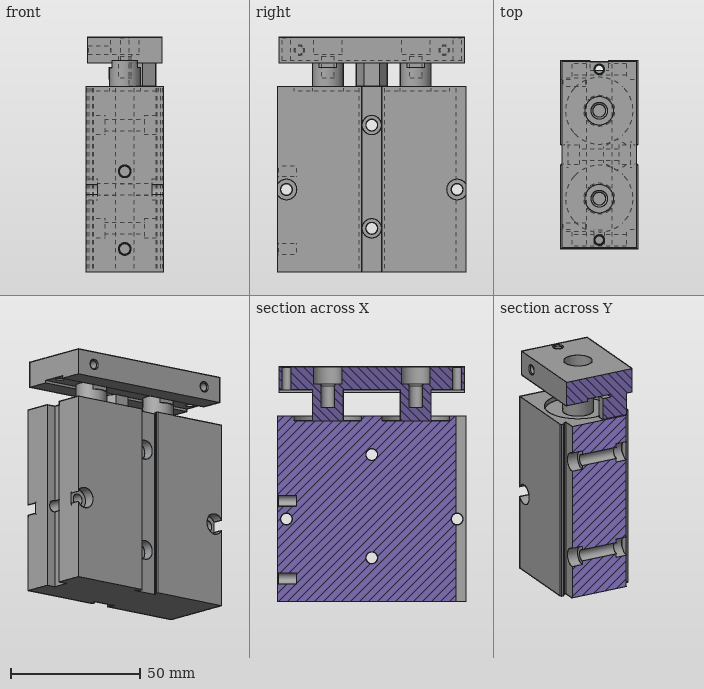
import cadquery as cq
import math

TOTAL_HEIGHT = 91.0

HOUSING_WIDTH = 30.0
HOUSING_LENGTH = 73.0
HOUSING_HEIGHT = 72.0

ROD_OFFSET_Y = 17.0
ROD_DIAMETER = 12.0

RECESS_DIAMETER = 26.0
RECESS_DEPTH = 1.8

GROOVE_MOUTH_WIDTH = 8.1
GROOVE_MOUTH_CHAMFER = 0.4
GROOVE_NECK_LENGTH = 0.8
GROOVE_UNDERCUT = 1.3
GROOVE_DEPTH = 3.0

END_SLOT_WIDTH = 7.0
END_SLOT_DEPTH = 3.8

MOUNT_HOLE_DIAMETER = 4.5
MOUNT_COUNTERBORE_DEPTH = 4.5
GROOVE_COUNTERBORE_DIAMETER = 7.5
GROOVE_HOLE_HEIGHTS = (17.0, 57.0)
SIDE_COUNTERBORE_DIAMETER = 8.0
SIDE_HOLE_OFFSET_Y = 33.0
SIDE_HOLE_HEIGHT = 32.0

PORT_DIAMETER = 4.1
PORT_MOUTH_DIAMETER = 4.9
PORT_DEPTH = 7.3
PORT_HEIGHTS = (9.0, 39.0)

PLATE_WIDTH = 29.0
PLATE_LENGTH = 72.0
PLATE_THICKNESS = 10.0
PLATE_BOTTOM = TOTAL_HEIGHT - PLATE_THICKNESS

ROD_FLAT_WIDTH = 10.0
ROD_FLAT_BELOW_PLATE = 1.7
CHANNEL_DEPTH = 1.0

WELL_DIAMETER = 11.0
WELL_DEPTH = 6.6
ROD_THREAD_DIAMETER = 4.9
ROD_THREAD_MOUTH_DIAMETER = 6.5
ROD_THREAD_DEPTH = 9.1

PLATE_THREAD_DIAMETER = 3.3
PLATE_THREAD_MOUTH_DIAMETER = 4.1
TOP_THREAD_OFFSET_Y = 33.0
SIDE_THREAD_OFFSET_Y = 28.0
SIDE_THREAD_DEPTH = 9.1

STOP_OFFSET_X = 6.8
STOP_ACROSS_FLATS = 10.5
STOP_GAP = 0.1


def box(size_x, size_y, bottom, top):
    """Block centred on X = Y = 0 between two heights."""
    height = top - bottom
    block = cq.Workplane("XY").box(size_x, size_y, height, centered=(True, True, False))
    return block.translate((0, 0, bottom))


def cylinder(diameter, start, direction, length):
    """Cylinder whose axis runs from a start point along a direction."""
    solid = cq.Solid.makeCylinder(diameter / 2, length, cq.Vector(*start), cq.Vector(*direction))
    return cq.Workplane(solid)


def threaded_hole(diameter, mouth_diameter, start, direction, depth):
    """Hole cutter with a 45 degree countersink at its mouth."""
    sink = (mouth_diameter - diameter) / 2
    cone = cq.Solid.makeCone(
        mouth_diameter / 2, diameter / 2, sink, cq.Vector(*start), cq.Vector(*direction)
    )
    return cylinder(diameter, start, direction, depth).union(cq.Workplane(cone))


def groove_cutter(side):
    """Undercut groove along Z in the broad face at X = side * HOUSING_WIDTH / 2."""
    face = HOUSING_WIDTH / 2
    neck_top = face - GROOVE_MOUTH_CHAMFER
    neck_bottom = neck_top - GROOVE_NECK_LENGTH
    undercut_end = neck_bottom - GROOVE_UNDERCUT
    floor = face - GROOVE_DEPTH
    mouth_half = GROOVE_MOUTH_WIDTH / 2
    neck_half = mouth_half - GROOVE_MOUTH_CHAMFER
    floor_half = neck_half + GROOVE_UNDERCUT
    half_outline = [
        (face, mouth_half),
        (neck_top, neck_half),
        (neck_bottom, neck_half),
        (undercut_end, floor_half),
        (floor, floor_half),
    ]
    outline = half_outline + [(x, -y) for x, y in reversed(half_outline)]
    points = [(side * x, y) for x, y in outline]
    return cq.Workplane("XY").polyline(points).close().extrude(HOUSING_HEIGHT)


def mount_hole_cutter(y, z, counterbore_diameter, seat_x):
    """Hole through the housing along X, counterbored inward from X = seat_x and X = -seat_x."""
    cutter = cylinder(MOUNT_HOLE_DIAMETER, (-HOUSING_WIDTH / 2, y, z), (1, 0, 0), HOUSING_WIDTH)
    for side in (-1, 1):
        start = (side * seat_x, y, z)
        cutter = cutter.union(cylinder(counterbore_diameter, start, (-side, 0, 0), MOUNT_COUNTERBORE_DEPTH))
    return cutter


def make_housing():
    housing = box(HOUSING_WIDTH, HOUSING_LENGTH, 0, HOUSING_HEIGHT)

    for side in (-1, 1):
        housing = housing.cut(groove_cutter(side))

    end_slot = box(END_SLOT_WIDTH, 2 * END_SLOT_DEPTH, 0, HOUSING_HEIGHT)
    housing = housing.cut(end_slot.translate((0, HOUSING_LENGTH / 2, 0)))

    for z in GROOVE_HOLE_HEIGHTS:
        seat_x = HOUSING_WIDTH / 2 - GROOVE_DEPTH
        housing = housing.cut(mount_hole_cutter(0, z, GROOVE_COUNTERBORE_DIAMETER, seat_x))
    for y in (-SIDE_HOLE_OFFSET_Y, SIDE_HOLE_OFFSET_Y):
        cutter = mount_hole_cutter(y, SIDE_HOLE_HEIGHT, SIDE_COUNTERBORE_DIAMETER, HOUSING_WIDTH / 2)
        housing = housing.cut(cutter)

    for z in PORT_HEIGHTS:
        start = (0, -HOUSING_LENGTH / 2, z)
        port = threaded_hole(PORT_DIAMETER, PORT_MOUTH_DIAMETER, start, (0, 1, 0), PORT_DEPTH)
        housing = housing.cut(port)

    for y in (-ROD_OFFSET_Y, ROD_OFFSET_Y):
        recess = cylinder(RECESS_DIAMETER, (0, y, HOUSING_HEIGHT), (0, 0, -1), RECESS_DEPTH)
        housing = housing.cut(recess)
    return housing


def make_plate():
    plate = box(PLATE_WIDTH, PLATE_LENGTH, PLATE_BOTTOM, TOTAL_HEIGHT)
    plate = plate.cut(box(ROD_FLAT_WIDTH, PLATE_LENGTH, PLATE_BOTTOM, PLATE_BOTTOM + CHANNEL_DEPTH))
    core = PLATE_THREAD_DIAMETER
    mouth = PLATE_THREAD_MOUTH_DIAMETER
    middle = PLATE_BOTTOM + PLATE_THICKNESS / 2
    for side in (-1, 1):
        top_start = (0, side * TOP_THREAD_OFFSET_Y, TOTAL_HEIGHT)
        plate = plate.cut(threaded_hole(core, mouth, top_start, (0, 0, -1), PLATE_THICKNESS))
        side_start = (-PLATE_WIDTH / 2, side * SIDE_THREAD_OFFSET_Y, middle)
        plate = plate.cut(threaded_hole(core, mouth, side_start, (1, 0, 0), SIDE_THREAD_DEPTH))
    return plate


def make_rod(y):
    """Rod standing on the recess floor, its top flatted to fit the plate channel."""
    bottom = HOUSING_HEIGHT - RECESS_DEPTH
    flat_bottom = PLATE_BOTTOM - ROD_FLAT_BELOW_PLATE
    top = PLATE_BOTTOM + CHANNEL_DEPTH
    shank = cylinder(ROD_DIAMETER, (0, 0, bottom), (0, 0, 1), flat_bottom - bottom)
    tip = cylinder(ROD_DIAMETER, (0, 0, flat_bottom), (0, 0, 1), top - flat_bottom)
    tip = tip.intersect(box(ROD_FLAT_WIDTH, ROD_DIAMETER, flat_bottom, top))
    return shank.union(tip).translate((0, y, 0))


def make_stop():
    """Hexagonal prism with flats facing +X and -X."""
    corner_diameter = STOP_ACROSS_FLATS / math.cos(math.pi / 6)
    bottom = HOUSING_HEIGHT + STOP_GAP
    stop = cq.Workplane("XY").polygon(6, corner_diameter).extrude(PLATE_BOTTOM - bottom)
    return stop.rotate((0, 0, 0), (0, 0, 1), 90).translate((STOP_OFFSET_X, 0, bottom))


def make_carriage():
    """Plate, rods and stop as one moving body."""
    carriage = make_plate().union(make_stop())
    well_floor = TOTAL_HEIGHT - WELL_DEPTH
    down = (0, 0, -1)
    for y in (-ROD_OFFSET_Y, ROD_OFFSET_Y):
        well = cylinder(WELL_DIAMETER, (0, y, TOTAL_HEIGHT), down, WELL_DEPTH)
        thread_start = (0, y, well_floor)
        thread = threaded_hole(
            ROD_THREAD_DIAMETER, ROD_THREAD_MOUTH_DIAMETER, thread_start, down, ROD_THREAD_DEPTH
        )
        carriage = carriage.union(make_rod(y)).cut(well).cut(thread)
    return carriage


housing = make_housing()
carriage = make_carriage()
result = cq.Compound.makeCompound([housing.val(), carriage.val()])